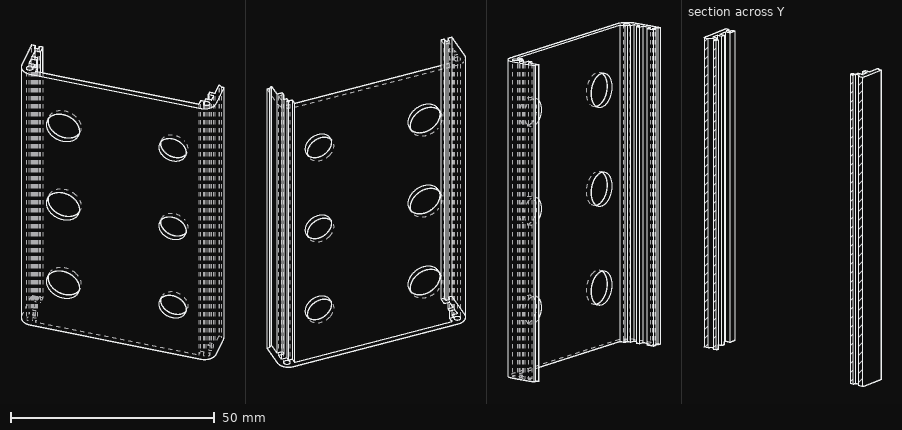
import cadquery as cq

WIDTH = 50.0
DEPTH = 11.0
LENGTH = 80.0
WALL = 1.5
CORNER_RADIUS = 3.0

BOSS_SHORT_REACH = 2 * WALL
BOSS_LONG_REACH = 4.0
SCREW_BORE_DIAMETER = 1.6
SCREW_BORE_OFFSET = 1.5 * WALL

GUIDE_REACH = 2.9
RIB_BOTTOM = 5.7
RIB_THICKNESS = 1.0

HOOK_HEIGHT = 2.0
GROOVE_START = 1.0
GROOVE_WIDTH = 1.0
GROOVE_DEPTH = 1.0

SHOULDER_Y = 9.5
LIP_TOP_Y = 10.0
LIP_TOP_WIDTH = 0.2
LIP_BASE_WIDTH = 0.8

HOLE_PITCH = 25.0
HOLE_ROWS = 3
LARGE_HOLE_DIAMETER = 8.5
LARGE_HOLE_X = 11.5
SMALL_HOLE_DIAMETER = 7.0
SMALL_HOLE_X = 39.7


def bar(x_start, x_end, y_start, y_end):
    """Full-length bar with a rectangular cross-section."""
    size = (x_end - x_start, y_end - y_start, LENGTH)
    return cq.Workplane("XY").box(*size, centered=False).translate((x_start, y_start, 0))


def make_shell():
    """U-shaped channel with rounded outer corners."""
    outer = bar(0, WIDTH, 0, DEPTH).edges("|Z and <Y").fillet(CORNER_RADIUS)
    return outer.cut(bar(WALL, WIDTH - WALL, WALL, DEPTH))


def make_left_inner_details():
    """Stepped corner boss and guide rib on the left wall."""
    tall_step = bar(WALL, BOSS_SHORT_REACH, WALL, BOSS_LONG_REACH)
    wide_step = bar(WALL, BOSS_LONG_REACH, WALL, BOSS_SHORT_REACH)
    rib = bar(WALL, GUIDE_REACH, RIB_BOTTOM, RIB_BOTTOM + RIB_THICKNESS)
    return tall_step.union(wide_step).union(rib)


def mirror_to_right(feature):
    return feature.mirror("YZ", (WIDTH / 2, 0, 0))


def make_screw_bores():
    """Lengthwise bores through both corner bosses."""
    centers = [(x, SCREW_BORE_OFFSET) for x in (SCREW_BORE_OFFSET, WIDTH - SCREW_BORE_OFFSET)]
    return cq.Workplane("XY").pushPoints(centers).circle(SCREW_BORE_DIAMETER / 2).extrude(LENGTH)


def make_hook():
    return bar(WALL, GUIDE_REACH, DEPTH - HOOK_HEIGHT, DEPTH)


def make_hook_groove():
    return bar(GROOVE_START, GROOVE_START + GROOVE_WIDTH, DEPTH - GROOVE_DEPTH, DEPTH)


def make_right_wall_trim():
    """Waste above the bevelled lip and shoulder of the right wall."""
    inner_x = WIDTH - WALL
    points = [
        (inner_x, DEPTH),
        (inner_x, LIP_TOP_Y),
        (inner_x + LIP_TOP_WIDTH, LIP_TOP_Y),
        (inner_x + LIP_BASE_WIDTH, SHOULDER_Y),
        (WIDTH, SHOULDER_Y),
        (WIDTH, DEPTH),
    ]
    return cq.Workplane("XY").polyline(points).close().extrude(LENGTH)


def make_hole_column(x, diameter):
    """Column of holes through the broad face, centred along the length."""
    middle_row = (HOLE_ROWS - 1) / 2
    points = [(x, LENGTH / 2 + (row - middle_row) * HOLE_PITCH) for row in range(HOLE_ROWS)]
    return cq.Workplane("XZ").pushPoints(points).circle(diameter / 2).extrude(-WALL)


left_details = make_left_inner_details()
result = make_shell().union(left_details).union(mirror_to_right(left_details)).union(make_hook())
result = result.cut(make_hook_groove()).cut(make_right_wall_trim()).cut(make_screw_bores())
result = result.cut(make_hole_column(LARGE_HOLE_X, LARGE_HOLE_DIAMETER))
result = result.cut(make_hole_column(SMALL_HOLE_X, SMALL_HOLE_DIAMETER))